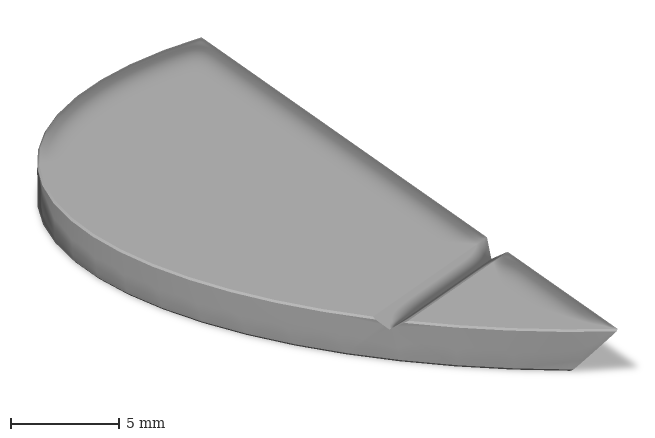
import cadquery as cq
import math

length = 46.9
thickness = 2.0
depth_front_to_back = 16.45
rim_chamfer = 0.1
bevel_angle = 45.0

groove_back_x = 9.85
groove_angle = -48.7
groove_width = 1.75
groove_included_angle = 120.0

bevel_slope = math.tan(math.radians(bevel_angle))
widest_chord_height = depth_front_to_back - rim_chamfer * bevel_slope
disc_radius = ((length / 2) ** 2 + widest_chord_height**2) / (2 * widest_chord_height)
back_y = depth_front_to_back - disc_radius
groove_depth = groove_width / 2 / math.tan(math.radians(groove_included_angle / 2))


def chamfered_disc():
    disc = cq.Workplane("XY").circle(disc_radius).extrude(thickness)
    return disc.faces("<Z or >Z").chamfer(rim_chamfer)


def segment_envelope():
    """Prism in front of the back plane, which leans back towards the top."""
    bevel_run = thickness * bevel_slope
    profile = [
        (-disc_radius, 0),
        (back_y - bevel_run, 0),
        (back_y, thickness),
        (-disc_radius, thickness),
    ]
    return cq.Workplane("YZ").polyline(profile).close().extrude(disc_radius, both=True)


def v_groove():
    """Straight V cutter running through both the back edge and the rim."""
    half_width = groove_width / 2
    profile = [(-half_width, 0), (0, -groove_depth), (half_width, 0)]
    cutter = cq.Workplane("YZ").polyline(profile).close().extrude(disc_radius, both=True)
    cutter = cutter.rotate((0, 0, 0), (0, 0, 1), groove_angle)
    return cutter.translate((groove_back_x, back_y, thickness))


result = chamfered_disc().intersect(segment_envelope()).cut(v_groove())